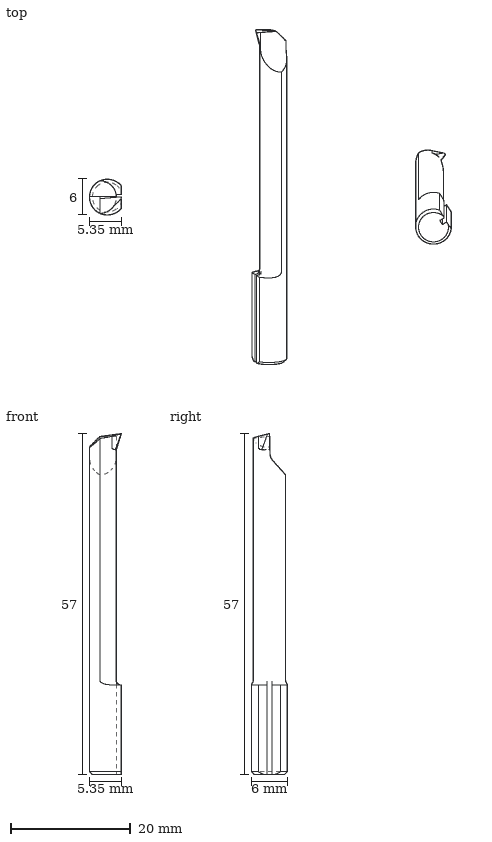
import cadquery as cq
import math

total_length = 57.0
shank_radius = 3.0
shank_flat_x = 2.35
shank_length = 15.0
end_chamfer = 0.5

groove_width = 0.8

neck_radius = 2.72
neck_front_x = 1.5
neck_axis_x = neck_front_x - neck_radius
neck_fillet = 0.8

tip_lean = 17.4
tip_start_x = 0.8
tip_start_z = 54.5
flank_angle = 45.0
flank_end_y = -0.25

top_fall = 7.0
bevel_angle = 45.0
bevel_start_x = -1.2
clearance_angle = 7.8

rake_y = 0.12
relief_radius = 1.8
relief_bottom_z = 50.1
relief_angle = 48.0

chip_floor_z = 56.5
chip_edge_y = 0.05
chip_wall_angle = 5.0

margin = 5.0


def tangent(degrees):
    return math.tan(math.radians(degrees))


def make_shank_blank():
    blank = cq.Workplane("XY").circle(shank_radius).extrude(total_length)
    blank = blank.faces("<Z").edges().chamfer(end_chamfer)
    width = 2 * shank_radius
    keep = cq.Workplane("XY").box(width, width, total_length, centered=(False, True, False))
    return blank.intersect(keep.translate((shank_flat_x - width, 0, 0)))


def make_neck_envelope():
    outer = neck_radius + neck_fillet
    wide = outer + margin
    mid = neck_fillet * math.cos(math.radians(45))
    fillet_top_z = shank_length + neck_fillet
    profile = (
        cq.Workplane("XZ")
        .lineTo(wide, 0)
        .lineTo(wide, shank_length)
        .lineTo(outer, shank_length)
        .threePointArc((outer - mid, fillet_top_z - mid), (neck_radius, fillet_top_z))
        .lineTo(neck_radius, total_length)
        .lineTo(0, total_length)
        .close()
    )
    return profile.revolve(360, (0, 0, 0), (0, 1, 0)).translate((neck_axis_x, 0, 0))


def make_clearance_prism(outline, side_clearance, top_clearance):
    """XZ outline at Y = 0, extruded along Y while shifting by the clearances towards -Y."""
    depth = shank_radius + margin
    wires = []
    for y in (-depth, depth):
        points = [cq.Vector(x + y * side_clearance, y, z + y * top_clearance) for x, z in outline]
        wires.append(cq.Wire.makePolygon(points, close=True))
    return cq.Workplane(obj=cq.Solid.makeLoft(wires, True))


def underside_z(x):
    return tip_start_z - (x - tip_start_x) * tangent(tip_lean)


def make_tip_outline():
    """XZ outline of the wedge, from inside the neck out to the cutting corner."""
    lean = tangent(tip_lean)
    rise = total_length - tip_start_z
    reach = shank_flat_x - tip_start_x
    corner_rise = (rise - reach / lean) / (1 + 1 / lean**2)
    corner_x = tip_start_x - corner_rise / lean
    return [
        (neck_axis_x, underside_z(neck_axis_x)),
        (corner_x, tip_start_z + corner_rise),
        (shank_flat_x, total_length),
        (neck_axis_x, total_length),
    ]


def flank_y(x):
    return flank_end_y - (shank_flat_x - x) * tangent(flank_angle)


def make_tip_wedge():
    plan = [
        (tip_start_x, chip_edge_y),
        (tip_start_x, flank_y(tip_start_x)),
        (shank_flat_x, flank_end_y),
        (shank_flat_x, chip_edge_y),
    ]
    wedge = cq.Workplane("XY").polyline(plan).close().extrude(total_length)
    return wedge.intersect(make_clearance_prism(make_tip_outline(), tangent(clearance_angle), 0))


def make_flank_cutter():
    """Removes the sliver of neck outside the flank, above the underside of the tip."""
    plan = [
        (tip_start_x, flank_y(tip_start_x)),
        (shank_flat_x, flank_end_y),
        (shank_flat_x, -shank_radius),
        (tip_start_x, -shank_radius),
    ]
    above = [
        (tip_start_x, tip_start_z),
        (shank_flat_x, underside_z(shank_flat_x)),
        (shank_flat_x, total_length + margin),
        (tip_start_x, total_length + margin),
    ]
    cutter = cq.Workplane("XY").polyline(plan).close().extrude(total_length + margin)
    region = cq.Workplane("XZ").polyline(above).close().extrude(shank_radius, both=True)
    return cutter.intersect(region)


def make_top_cutter():
    corner_z = total_length - (shank_flat_x - bevel_start_x) * tangent(top_fall)
    left_x = -shank_radius - margin
    right_x = shank_flat_x + margin
    high_z = total_length + 2 * margin
    outline = [
        (left_x, corner_z - (bevel_start_x - left_x) * tangent(bevel_angle)),
        (bevel_start_x, corner_z),
        (right_x, total_length + margin * tangent(top_fall)),
        (right_x, high_z),
        (left_x, high_z),
    ]
    return make_clearance_prism(outline, 0, tangent(clearance_angle))


def make_chip_cutter():
    left_x = -shank_radius
    drift = (shank_flat_x - left_x) * tangent(chip_wall_angle)
    plan = [
        (left_x, chip_edge_y - drift),
        (shank_flat_x, chip_edge_y),
        (shank_flat_x, shank_radius),
        (left_x, shank_radius),
    ]
    return cq.Workplane("XY").workplane(offset=chip_floor_z).polyline(plan).close().extrude(margin)


def make_groove_cutter():
    depth = shank_flat_x - neck_front_x
    height = shank_length + neck_fillet
    groove = cq.Workplane("XY").box(depth, groove_width, height, centered=(False, True, False))
    return groove.translate((neck_front_x, 0, 0))


def make_relief_cutter():
    slope = tangent(relief_angle)
    angle = math.radians(relief_angle)
    knee_z = relief_bottom_z + (neck_radius - rake_y) * slope
    turn = math.pi / 2 - angle
    setback = relief_radius * math.tan(turn / 2)
    centre_y = rake_y + relief_radius
    arc_end_z = knee_z + setback
    far_y = neck_radius + margin
    arc_mid = (
        centre_y - relief_radius * math.cos(turn / 2),
        arc_end_z - relief_radius * math.sin(turn / 2),
    )
    arc_start = (rake_y + setback * math.cos(angle), knee_z - setback * math.sin(angle))
    profile = (
        cq.Workplane("YZ")
        .moveTo(far_y, relief_bottom_z - margin * slope)
        .lineTo(*arc_start)
        .threePointArc(arc_mid, (rake_y, arc_end_z))
        .lineTo(rake_y, total_length + margin)
        .lineTo(far_y, total_length + margin)
        .close()
    )
    return profile.extrude(shank_radius + margin, both=True)


body = make_shank_blank().intersect(make_neck_envelope())
body = body.cut(make_groove_cutter())
body = body.cut(make_flank_cutter())
body = body.union(make_tip_wedge())
body = body.cut(make_top_cutter())
body = body.cut(make_chip_cutter())
result = body.cut(make_relief_cutter())